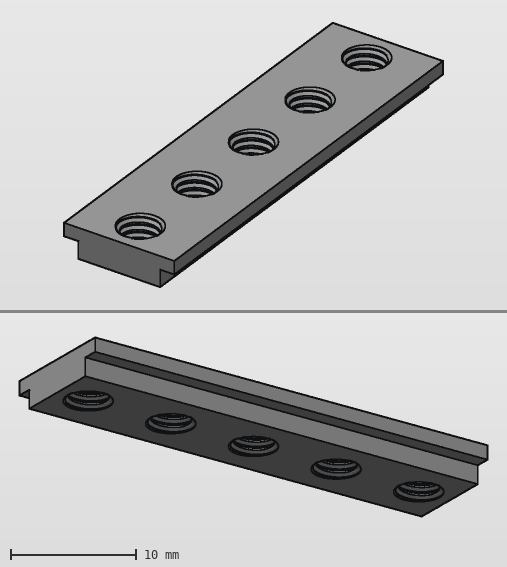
import cadquery as cq

length = 38.0
flange_width = 10.65
flange_thickness = 1.25
foot_width = 7.9
height = 2.9

hole_count = 5
end_margin = 3.0
hole_spacing = (length - 2 * end_margin) / (hole_count - 1)

major_diameter = 4.0
minor_diameter = 3.3
thread_pitch = major_diameter * 0.7 / 4
crest_flat = thread_pitch / 4
root_flat = thread_pitch / 8
groove_start_height = 0.205
overrun_turns = 2

major_radius = major_diameter / 2
minor_radius = minor_diameter / 2
countersink_depth = major_radius - minor_radius


def make_rail():
    """T-section, symmetric about X = 0, extruded along Y."""
    half_flange = flange_width / 2
    half_foot = foot_width / 2
    foot_height = height - flange_thickness
    section = [
        (-half_foot, 0),
        (half_foot, 0),
        (half_foot, foot_height),
        (half_flange, foot_height),
        (half_flange, height),
        (-half_flange, height),
        (-half_flange, foot_height),
        (-half_foot, foot_height),
    ]
    return cq.Workplane("XZ").polyline(section).close().extrude(length / 2, both=True)


def make_bore():
    """Minor-diameter bore with a countersink at both ends, centred on the Z axis."""
    half_section = [
        (0, 0),
        (major_radius, 0),
        (minor_radius, countersink_depth),
        (minor_radius, height - countersink_depth),
        (major_radius, height),
        (0, height),
    ]
    return cq.Workplane("XZ").polyline(half_section).close().revolve(360, (0, 0), (0, 1))


def make_thread_groove():
    """Solid helical ridge with a trapezoidal section that cuts the thread groove."""
    overrun = overrun_turns * thread_pitch
    helix_base = groove_start_height - overrun
    helix_height = height + 2 * overrun
    half_mouth = (thread_pitch - crest_flat) / 2
    half_root = root_flat / 2

    corners = [
        (minor_radius, -half_mouth),
        (major_radius, -half_root),
        (major_radius, half_root),
        (minor_radius, half_mouth),
    ]
    helices = []
    for radius, offset in corners:
        helix = cq.Wire.makeHelix(thread_pitch, helix_height, radius)
        helices.append(helix.translate(cq.Vector(0, 0, helix_base + offset)))

    faces = []
    for helix, next_helix in zip(helices, helices[1:] + helices[:1]):
        faces.append(cq.Face.makeRuledSurface(helix, next_helix))
    start_corners = [helix.startPoint() for helix in helices]
    end_corners = [helix.endPoint() for helix in helices]
    for cap_corners in (start_corners, end_corners):
        faces.append(cq.Face.makeFromWires(cq.Wire.makePolygon(cap_corners, close=True)))
    return cq.Workplane(cq.Solid.makeSolid(cq.Shell.makeShell(faces)))


rail = make_rail()
bore = make_bore()
thread_groove = make_thread_groove()
for index in range(hole_count):
    hole_centre = (0, -length / 2 + end_margin + index * hole_spacing, 0)
    rail = rail.cut(bore.translate(hole_centre))
    rail = rail.cut(thread_groove.translate(hole_centre))

result = rail.solids()